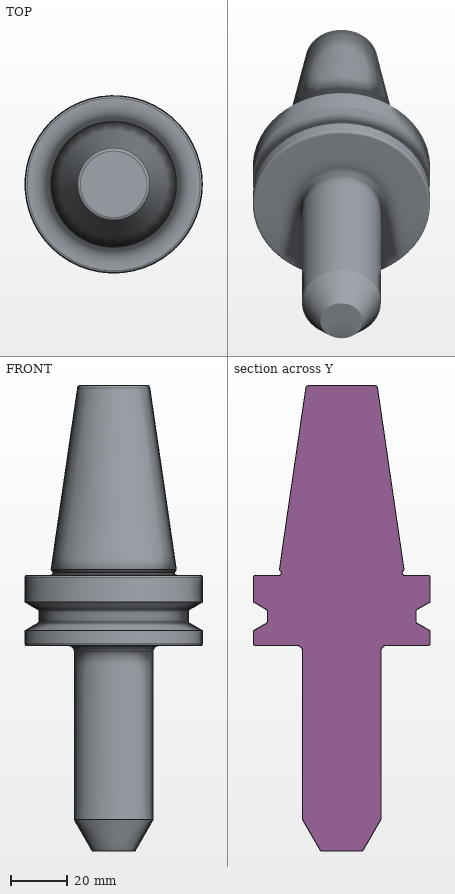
import cadquery as cq
import math

GAUGE_DIAMETER = 44.45
TAPER_LENGTH = 65.4
TAPER_RATIO = 7 / 24
TAPER_END_FILLET = 1.0

FLANGE_GAP = 2.0
NECK_DIAMETER = 43.0
NECK_FILLET = 1.0

FLANGE_DIAMETER = 63.0
FLANGE_BOTTOM_DEPTH = 27.0
FLANGE_FILLET = 0.8
GROOVE_CENTRE_DEPTH = 16.6
GROOVE_WIDTH = 10.2
GROOVE_FLOOR_DIAMETER = 53.0
GROOVE_WALL_ANGLE = 30.0
GROOVE_FLOOR_FILLET = 0.6

NOSE_LENGTH = 100.0
SHANK_DIAMETER = 28.0
SHANK_FILLET = 2.0
TIP_DIAMETER = 15.0
TIP_HALF_ANGLE = 30.0

gauge_radius = GAUGE_DIAMETER / 2
flange_radius = FLANGE_DIAMETER / 2
neck_radius = NECK_DIAMETER / 2
shank_radius = SHANK_DIAMETER / 2
tip_radius = TIP_DIAMETER / 2


def revolve_profile(profile):
    """Revolve a closed (radius, Z) half profile about the Z axis."""
    return profile.close().revolve(360, (0, 0, 0), (0, 1, 0))


def make_taper():
    fillet_radius = neck_radius + NECK_FILLET
    fillet_top = -FLANGE_GAP + NECK_FILLET
    end_radius = gauge_radius - TAPER_LENGTH * TAPER_RATIO / 2
    profile = (
        cq.Workplane("XZ")
        .moveTo(0, -FLANGE_GAP)
        .lineTo(fillet_radius, -FLANGE_GAP)
        .radiusArc((neck_radius, fillet_top), NECK_FILLET)
        .lineTo(gauge_radius, 0)
        .lineTo(end_radius, TAPER_LENGTH)
        .lineTo(0, TAPER_LENGTH)
    )
    return revolve_profile(profile).faces(">Z").edges().fillet(TAPER_END_FILLET)


def make_flange():
    thickness = FLANGE_BOTTOM_DEPTH - FLANGE_GAP
    disc = cq.Workplane("XY").workplane(offset=-FLANGE_BOTTOM_DEPTH).circle(flange_radius).extrude(thickness)
    return disc.faces("<Z or >Z").edges().fillet(FLANGE_FILLET)


def make_groove():
    floor_radius = GROOVE_FLOOR_DIAMETER / 2
    wall_height = (flange_radius - floor_radius) * math.tan(math.radians(GROOVE_WALL_ANGLE))
    rim_half_width = GROOVE_WIDTH / 2
    floor_half_width = rim_half_width - wall_height
    profile = (
        cq.Workplane("XZ")
        .moveTo(flange_radius, -GROOVE_CENTRE_DEPTH + rim_half_width)
        .lineTo(floor_radius, -GROOVE_CENTRE_DEPTH + floor_half_width)
        .lineTo(floor_radius, -GROOVE_CENTRE_DEPTH - floor_half_width)
        .lineTo(flange_radius, -GROOVE_CENTRE_DEPTH - rim_half_width)
    )
    floor_edges = cq.selectors.RadiusNthSelector(0)
    return revolve_profile(profile).edges(floor_edges).fillet(GROOVE_FLOOR_FILLET)


def make_shank():
    fillet_radius = shank_radius + SHANK_FILLET
    fillet_bottom = -FLANGE_BOTTOM_DEPTH - SHANK_FILLET
    tip_length = (shank_radius - tip_radius) / math.tan(math.radians(TIP_HALF_ANGLE))
    profile = (
        cq.Workplane("XZ")
        .moveTo(0, -FLANGE_BOTTOM_DEPTH)
        .lineTo(fillet_radius, -FLANGE_BOTTOM_DEPTH)
        .radiusArc((shank_radius, fillet_bottom), -SHANK_FILLET)
        .lineTo(shank_radius, -NOSE_LENGTH + tip_length)
        .lineTo(tip_radius, -NOSE_LENGTH)
        .lineTo(0, -NOSE_LENGTH)
    )
    return revolve_profile(profile)


result = make_flange().cut(make_groove()).union(make_taper()).union(make_shank())